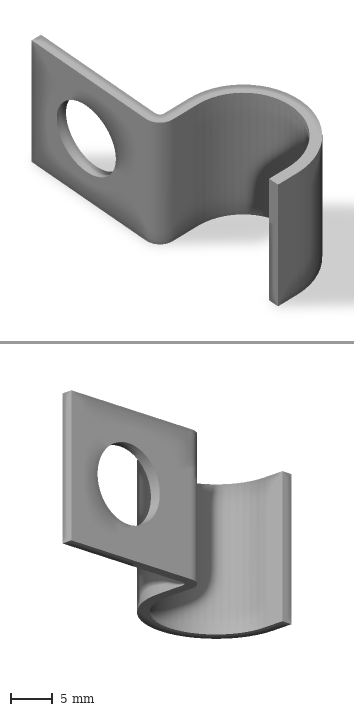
import cadquery as cq

overall_length = 39.61
overall_depth = 15.8
strap_width = 19.05
strap_thickness = 1.524

saddle_inner_radius = 7.9375
saddle_outer_radius = saddle_inner_radius + strap_thickness
free_leg_length = 3.175

bend_inner_radius = strap_thickness / 2
bend_outer_radius = bend_inner_radius + strap_thickness

hole_diameter = 10.32
hole_end_distance = strap_width / 2

flange_end_x = saddle_outer_radius - overall_length
flange_front_y = saddle_outer_radius - overall_depth
flange_back_y = flange_front_y + strap_thickness
hole_x = flange_end_x + hole_end_distance
bend_outer_start_x = -saddle_inner_radius - bend_outer_radius
bend_inner_end_x = -saddle_outer_radius - bend_inner_radius


def make_strap():
    """Bent strip: flange, bend, half-round saddle and short free leg."""
    profile = (
        cq.Workplane("XY")
        .moveTo(flange_end_x, flange_front_y)
        .lineTo(bend_outer_start_x, flange_front_y)
        .radiusArc((-saddle_inner_radius, flange_front_y + bend_outer_radius), -bend_outer_radius)
        .lineTo(-saddle_inner_radius, 0)
        .threePointArc((0, saddle_inner_radius), (saddle_inner_radius, 0))
        .lineTo(saddle_inner_radius, -free_leg_length)
        .lineTo(saddle_outer_radius, -free_leg_length)
        .lineTo(saddle_outer_radius, 0)
        .threePointArc((0, saddle_outer_radius), (-saddle_outer_radius, 0))
        .lineTo(-saddle_outer_radius, flange_back_y + bend_inner_radius)
        .radiusArc((bend_inner_end_x, flange_back_y), bend_inner_radius)
        .lineTo(flange_end_x, flange_back_y)
        .close()
    )
    return profile.extrude(strap_width)


def make_hole_cutter():
    """Cylinder through the flange thickness along Y."""
    return (
        cq.Workplane("XZ", origin=(hole_x, flange_back_y, strap_width / 2))
        .circle(hole_diameter / 2)
        .extrude(strap_thickness)
    )


result = make_strap().cut(make_hole_cutter())